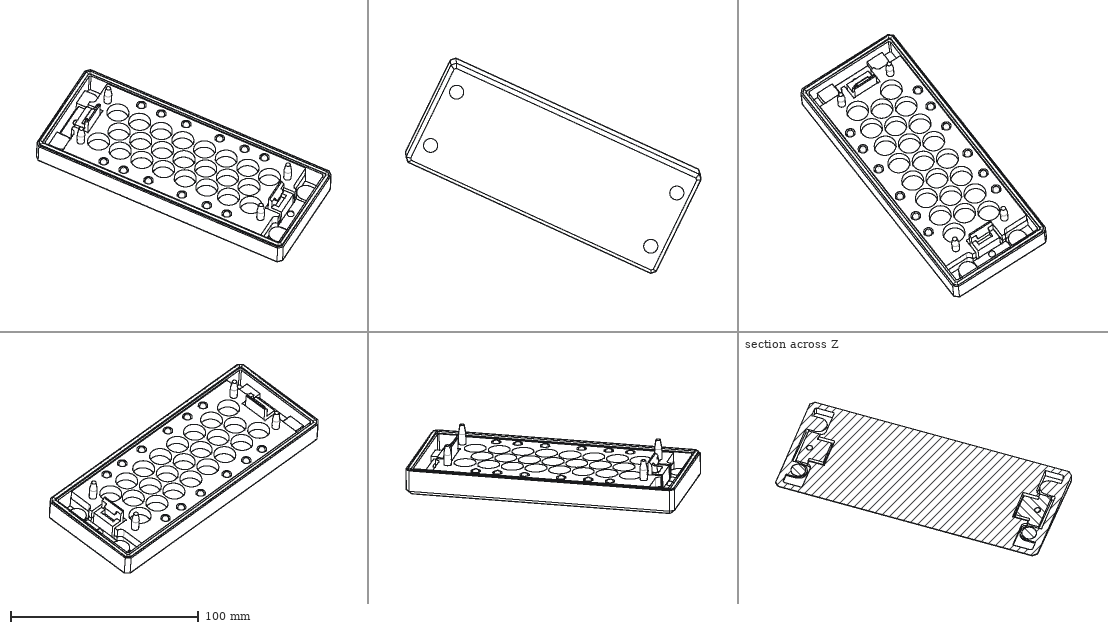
import cadquery as cq
import math

TILT = -4.0

LENGTH = 148.0
WIDTH = 60.1
CASE_HEIGHT = 13.9
EDGE_CHAMFER = 2.2
WALL = 3.7
FLOOR = 2.2
CAVITY_CORNER = 0.7
CAVITY_LENGTH = LENGTH - 2 * WALL
CAVITY_WIDTH = WIDTH - 2 * WALL

BEAD_INSET = 0.9
BEAD_WIDTH = 1.8
BEAD_HEIGHT = 2.4
BEAD_CROWN = 0.5
BEAD_TOP = CASE_HEIGHT + 0.9
BEAD_LEAN = -1.1

FOOT_DIAMETER = 7.5
FOOT_THICKNESS = 4.0
FOOT_X = 65.1
FOOT_Y = 16.1
FOOT_SPOTS = [(sx * FOOT_X, sy * FOOT_Y) for sx in (-1, 1) for sy in (-1, 1)]
BOSS_RADIUS = 4.9
BOSS_TOP = 6.8

POST_DIAMETER = 3.5
POST_END_FILLET = 0.499 * POST_DIAMETER
POST_HOLE_DIAMETER = 5.0
POST_X = (10.0, 25.0, 37.0)
POST_Y = 21.9
PLATE_POST_SPOTS = [(sx * x, sy * POST_Y) for x in POST_X for sx in (-1, 1) for sy in (-1, 1)]
CLIP_POST_X = 64.4

PLATE_TOP = CASE_HEIGHT - 0.3
PLATE_THICKNESS = 5.5
PLATE_CLEARANCE = 0.3
PLATFORM_TOP = PLATE_TOP - PLATE_THICKNESS
PLATE_HALF_LENGTH = 62.2
END_TONGUE_WIDTH = 21.3
CORNER_NOTCH_X = 59.6
NOTCH_FILLET = 2.4
SELECT_MARGIN = 0.1
POST_TOP = PLATE_TOP + 1.2

WELL_DIAMETER = 11.7
WELL_PITCH = 13.0
WELL_ROW_PITCH = 11.2
OUTER_ROW_COUNT = 8
MIDDLE_ROW_COUNT = 7
ODD_WELL_SHIFT = 0.7

PIN_DIAMETER = 4.0
PIN_TIP_DIAMETER = 2.4
PIN_SHOULDER = 19.5
PIN_TIP = 24.4
PIN_X = 54.0
PIN_Y = 15.7

CLIP_SLOT_X = 53.3
CLIP_SLOT_WIDTH = 17.0
CLIP_WIDTH = 13.9
CLIP_BACK_X = 54.2
ARM_THICKNESS = 2.0
ARM_TOP = 20.1
ARM_BEVEL = 1.3
HOOK_WIDTH = 7.7
HOOK_REACH = 3.0
HOOK_RECESS_X = 59.2
HOOK_RECESS_WIDTH = 8.9
HOOK_RECESS_DEPTH = 3.0
FLANGE_END_X = 68.7
FLANGE_WIDTH = END_TONGUE_WIDTH
FLANGE_TOP = 5.6


def block(x0, x1, width, z0, z1, y_middle=0):
    """Box between two X and two Z levels, centred on y_middle."""
    return (
        cq.Workplane("XY", origin=((x0 + x1) / 2, y_middle, z0))
        .rect(x1 - x0, width)
        .extrude(z1 - z0)
    )


def rod(diameter, x, y, z0, z1):
    """Upright cylinder."""
    return cq.Workplane("XY", origin=(x, y, z0)).circle(diameter / 2).extrude(z1 - z0)


def make_bead():
    """Crowned strip swept around the rim, parallel to the case outline."""
    centre_inset = BEAD_INSET + BEAD_WIDTH / 2
    corner_chamfer = EDGE_CHAMFER - centre_inset * (2 - math.sqrt(2))
    half_length = LENGTH / 2 - centre_inset
    half_width = WIDTH / 2 - centre_inset
    path = (
        cq.Workplane("XY", origin=(0, 0, BEAD_TOP))
        .moveTo(0, -half_width)
        .lineTo(half_length - corner_chamfer, -half_width)
        .lineTo(half_length, -half_width + corner_chamfer)
        .lineTo(half_length, half_width - corner_chamfer)
        .lineTo(half_length - corner_chamfer, half_width)
        .lineTo(-half_length + corner_chamfer, half_width)
        .lineTo(-half_length, half_width - corner_chamfer)
        .lineTo(-half_length, -half_width + corner_chamfer)
        .lineTo(-half_length + corner_chamfer, -half_width)
        .close()
    )
    bead = (
        cq.Workplane("YZ", origin=(0, -half_width, BEAD_TOP))
        .moveTo(-BEAD_WIDTH / 2, -BEAD_HEIGHT)
        .lineTo(BEAD_WIDTH / 2, -BEAD_HEIGHT)
        .lineTo(BEAD_WIDTH / 2, -BEAD_CROWN)
        .threePointArc((0, 0), (-BEAD_WIDTH / 2, -BEAD_CROWN))
        .close()
        .sweep(path, transition="right")
    )
    return bead.rotate((0, 0, BEAD_TOP), (1, 0, BEAD_TOP), BEAD_LEAN)


def plate_blank(width, z0, z1):
    """Slab across the cavity with rounded corner notches and a slot for the clip at each end."""
    main = block(-CORNER_NOTCH_X, CORNER_NOTCH_X, width, z0, z1)
    tongues = block(-PLATE_HALF_LENGTH, PLATE_HALF_LENGTH, END_TONGUE_WIDTH, z0, z1)
    blank = main.union(tongues)
    inner_corners = cq.selectors.BoxSelector(
        (-CORNER_NOTCH_X - SELECT_MARGIN, -END_TONGUE_WIDTH / 2 - SELECT_MARGIN, z0),
        (CORNER_NOTCH_X + SELECT_MARGIN, END_TONGUE_WIDTH / 2 + SELECT_MARGIN, z1),
    )
    blank = blank.edges("|Z").edges(inner_corners).fillet(NOTCH_FILLET)
    for side in (-1, 1):
        ends = sorted((side * CLIP_SLOT_X, side * PLATE_HALF_LENGTH))
        blank = blank.cut(block(*ends, CLIP_SLOT_WIDTH, z0, z1))
    return blank


def foot_boss(x, y):
    """Round boss above a foot, joined to the nearby end wall."""
    side = 1 if x > 0 else -1
    wall_x = side * CAVITY_LENGTH / 2
    bridge = block(min(x, wall_x), max(x, wall_x), 2 * BOSS_RADIUS, FLOOR, BOSS_TOP, y)
    return rod(2 * BOSS_RADIUS, x, y, FLOOR, BOSS_TOP).union(bridge)


def post(x, y, top):
    """Post with a hemispherical end, standing on the case floor."""
    return rod(POST_DIAMETER, x, y, FLOOR, top).faces(">Z").edges().fillet(POST_END_FILLET)


def make_feet():
    return [rod(FOOT_DIAMETER, x, y, 0, FOOT_THICKNESS) for x, y in FOOT_SPOTS]


def make_case(bead, feet):
    case = (
        cq.Workplane("XY").rect(LENGTH, WIDTH).extrude(CASE_HEIGHT)
        .edges("|Z").chamfer(EDGE_CHAMFER)
        .faces("<Z").edges().chamfer(EDGE_CHAMFER)
    )
    cavity = (
        cq.Workplane("XY", origin=(0, 0, FLOOR))
        .rect(CAVITY_LENGTH, CAVITY_WIDTH).extrude(CASE_HEIGHT)
        .edges("|Z").chamfer(CAVITY_CORNER)
    )
    case = case.cut(cavity).union(plate_blank(CAVITY_WIDTH, FLOOR, PLATFORM_TOP))
    for x, y in FOOT_SPOTS:
        case = case.union(foot_boss(x, y))
    for x, y in PLATE_POST_SPOTS:
        case = case.union(post(x, y, POST_TOP))
    for side in (-1, 1):
        case = case.union(post(side * CLIP_POST_X, 0, FLANGE_TOP + POST_DIAMETER / 2))
    for inserted in [bead, *feet]:
        case = case.cut(inserted)
    return case


def well_spots():
    spots = []
    for row, count in ((1, OUTER_ROW_COUNT), (0, MIDDLE_ROW_COUNT), (-1, OUTER_ROW_COUNT)):
        for i in range(count):
            spots.append(((i - (count - 1) / 2) * WELL_PITCH, row * WELL_ROW_PITCH))
    x, y = spots[-1]
    spots[-1] = (x, y + ODD_WELL_SHIFT)
    return spots


def guide_pin(x, y):
    tip = (
        cq.Workplane("XY", origin=(x, y, PIN_SHOULDER)).circle(PIN_DIAMETER / 2)
        .workplane(offset=PIN_TIP - PIN_SHOULDER).circle(PIN_TIP_DIAMETER / 2)
        .loft()
    )
    return rod(PIN_DIAMETER, x, y, PLATE_TOP, PIN_SHOULDER).union(tip)


def make_plate():
    plate = plate_blank(CAVITY_WIDTH - 2 * PLATE_CLEARANCE, PLATFORM_TOP, PLATE_TOP)
    for x, y in well_spots():
        plate = plate.cut(rod(WELL_DIAMETER, x, y, PLATFORM_TOP, PLATE_TOP))
    for x, y in PLATE_POST_SPOTS:
        plate = plate.cut(rod(POST_HOLE_DIAMETER, x, y, PLATFORM_TOP, PLATE_TOP))
    for x in (-PIN_X, PIN_X):
        for y in (-PIN_Y, PIN_Y):
            plate = plate.union(guide_pin(x, y))
    return plate


def make_right_clip():
    """Clip at the +X end: flange on the floor, body, and arm with a hook facing outwards."""
    arm_front = CLIP_BACK_X + ARM_THICKNESS
    bevel_start = arm_front - ARM_BEVEL
    hook_tip = bevel_start + HOOK_REACH
    hook_bottom = ARM_TOP - HOOK_REACH

    body = block(CLIP_BACK_X, PLATE_HALF_LENGTH, CLIP_WIDTH, FLOOR, PLATE_TOP)
    recess = block(
        arm_front, HOOK_RECESS_X, HOOK_RECESS_WIDTH, PLATE_TOP - HOOK_RECESS_DEPTH, PLATE_TOP
    )
    flange = block(PLATE_HALF_LENGTH, FLANGE_END_X, FLANGE_WIDTH, FLOOR, FLANGE_TOP)
    arm = (
        cq.Workplane("XZ")
        .moveTo(CLIP_BACK_X, PLATE_TOP)
        .lineTo(arm_front, PLATE_TOP)
        .lineTo(arm_front, ARM_TOP - ARM_BEVEL)
        .lineTo(bevel_start, ARM_TOP)
        .lineTo(CLIP_BACK_X, ARM_TOP)
        .close()
        .extrude(CLIP_WIDTH / 2, both=True)
    )
    hook = (
        cq.Workplane("XZ")
        .moveTo(bevel_start, ARM_TOP)
        .lineTo(hook_tip, hook_bottom)
        .lineTo(bevel_start, hook_bottom)
        .close()
        .extrude(HOOK_WIDTH / 2, both=True)
    )
    post_hole = rod(POST_DIAMETER, CLIP_POST_X, 0, FLOOR, FLANGE_TOP)
    return body.cut(recess).union(flange).cut(post_hole).union(arm).union(hook)


def make_clips():
    right_clip = make_right_clip()
    return [right_clip.rotate((0, 0, 0), (0, 0, 1), turn) for turn in (0, 180)]


bead = make_bead()
feet = make_feet()
case = make_case(bead, feet)
plate = make_plate()
clips = make_clips()

bodies = [case, plate, bead, *clips, *feet]
result = cq.Compound.makeCompound(
    [body.rotate((0, 0, 0), (1, 0, 0), TILT).val() for body in bodies]
)